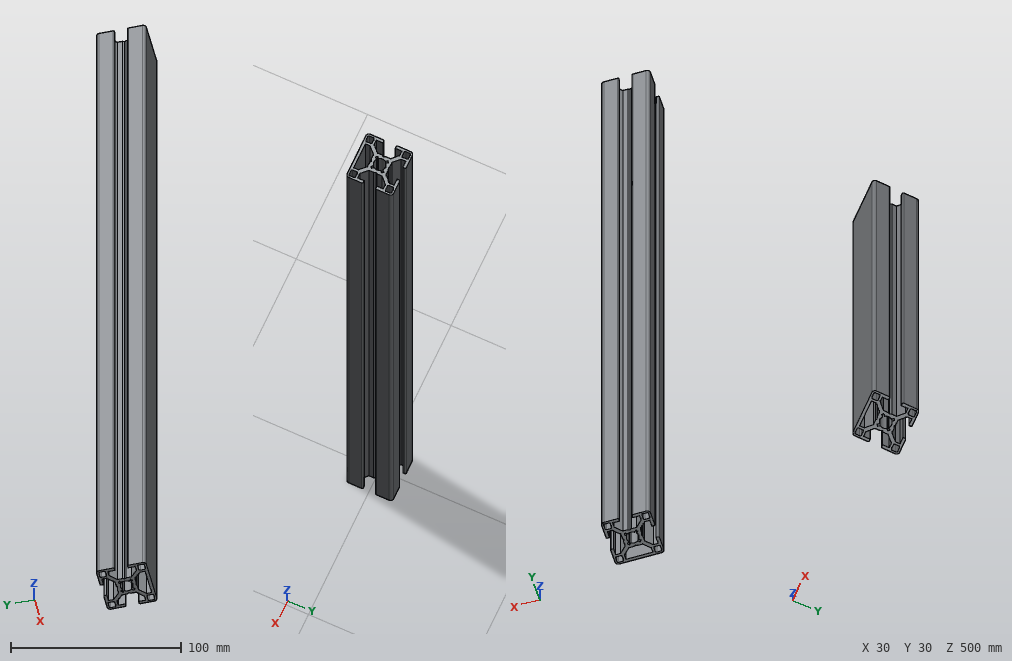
import cadquery as cq

side = 30.0
length = 500.0
half = side / 2
corner_radius = 2.0

slot_opening = 8.0
lip_thickness = 1.95
lip_edge_round = 0.75
cavity_width = 16.5
core_width = 12.0
cavity_floor_width = 8.5
cavity_flank_depth = 3.0

groove_width = 2.25
groove_depth = 0.5

bore_diameter = 7.5
relief_width = 1.25
relief_span = 10.5

outer_wall = 1.25
hollow_width = 4.0
hollow_radius = corner_radius - outer_wall
hollow_center = half - outer_wall - hollow_width / 2


def on_side(shape, angle):
    """Turn a shape made for the +Y side about the bar axis."""
    return shape.rotate((0, 0, 0), (0, 0, 1), angle)


def slot_cavity():
    """Wide inner chamber with tapering flanks and a grooved floor, for the +Y side."""
    top = half - lip_thickness
    shoulder = top - cavity_flank_depth
    floor = core_width / 2
    return (
        cq.Workplane("XY")
        .moveTo(-cavity_width / 2, top)
        .lineTo(-cavity_width / 2, shoulder)
        .lineTo(-cavity_floor_width / 2, floor)
        .lineTo(-groove_width / 2, floor)
        .lineTo(0, floor - groove_depth)
        .lineTo(groove_width / 2, floor)
        .lineTo(cavity_floor_width / 2, floor)
        .lineTo(cavity_width / 2, shoulder)
        .lineTo(cavity_width / 2, top)
        .close()
        .extrude(length)
    )


def slot_mouth():
    """Opening between the two lips, flaring out over their rounded edges, for the +Y side."""
    edge = slot_opening / 2
    bottom = half - 2 * lip_thickness
    round_start = half - lip_edge_round
    return (
        cq.Workplane("XY")
        .moveTo(-edge, bottom)
        .lineTo(edge, bottom)
        .lineTo(edge, round_start)
        .radiusArc((edge + lip_edge_round, half), lip_edge_round)
        .lineTo(-edge - lip_edge_round, half)
        .radiusArc((-edge, round_start), lip_edge_round)
        .close()
        .extrude(length)
    )


bar = cq.Workplane("XY").rect(side, side).extrude(length).edges("|Z").fillet(corner_radius)

for angle in (0, 90, 180, 270):
    bar = bar.cut(on_side(slot_cavity(), angle))

for angle in (0, 90, 270):
    bar = bar.cut(on_side(slot_mouth(), angle))

bar = bar.cut(cq.Workplane("XY").circle(bore_diameter / 2).extrude(length))

for angle in (45, 135):
    relief = cq.Workplane("XY").rect(relief_width, relief_span).extrude(length)
    bar = bar.cut(on_side(relief, angle))

hollows = (
    cq.Workplane("XY")
    .rect(2 * hollow_center, 2 * hollow_center, forConstruction=True)
    .vertices()
    .rect(hollow_width, hollow_width)
    .extrude(length)
    .edges("|Z")
    .fillet(hollow_radius)
)
result = bar.cut(hollows)